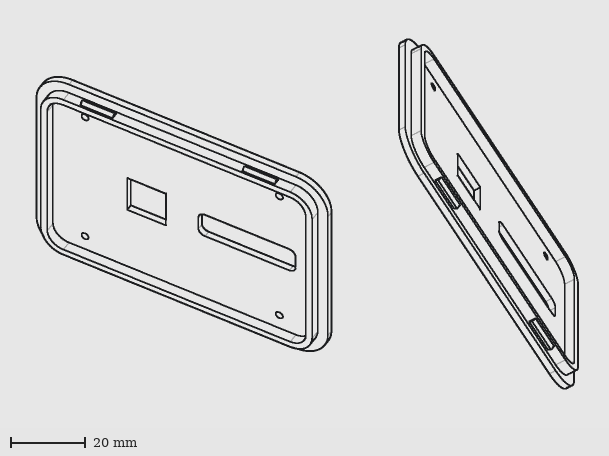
import cadquery as cq

plate_length = 90.0
plate_height = 65.0
total_depth = 5.0
plate_thickness = 2.0
corner_radius = 10.0

rim_inset = 3.15
rim_wall = 2.0
rim_depth = total_depth - plate_thickness

ridge_length = 10.0
ridge_base = 2.0
ridge_height = ridge_base / 2
ridge_center_x = 25.0

screw_hole_diameter = 2.2
screw_hole_x = 30.0
screw_hole_z = 22.5
square_side = 12.0
square_center_x = -11.0
slot_length = 30.0
slot_height = 8.0
slot_corner_radius = 2.0
slot_center_x = 20.0

back_y = total_depth / 2
plate_front_y = back_y - plate_thickness
rim_front_y = -total_depth / 2
rim_middle_y = (plate_front_y + rim_front_y) / 2


def rounded_block(length, height, depth, radius, start_y, center_x=0):
    """Block with corners rounded about Y, growing from start_y towards -Y."""
    return (
        cq.Workplane("XZ", origin=(center_x, start_y, 0))
        .rect(length, height)
        .extrude(depth)
        .edges("|Y")
        .fillet(radius)
    )


def inset_block(inset, depth, start_y):
    """Block whose outline is the plate outline moved inwards by inset."""
    return rounded_block(
        plate_length - 2 * inset,
        plate_height - 2 * inset,
        depth,
        corner_radius - inset,
        start_y,
    )


def snap_ridge(center_x, side):
    """Triangular ridge along X on the top (side = 1) or bottom (side = -1) rim wall."""
    wall_z = side * (plate_height / 2 - rim_inset)
    root_z = wall_z - side * rim_wall / 2
    base_start_y = rim_middle_y - ridge_base / 2
    base_end_y = rim_middle_y + ridge_base / 2
    return (
        cq.Workplane("YZ", origin=(center_x - ridge_length / 2, 0, 0))
        .moveTo(base_start_y, root_z)
        .lineTo(base_start_y, wall_z)
        .lineTo(rim_middle_y, wall_z + side * ridge_height)
        .lineTo(base_end_y, wall_z)
        .lineTo(base_end_y, root_z)
        .close()
        .extrude(ridge_length)
    )


plate = inset_block(0, plate_thickness, back_y)
rim = inset_block(rim_inset, rim_depth, plate_front_y).cut(
    inset_block(rim_inset + rim_wall, rim_depth, plate_front_y)
)
result = plate.union(rim)

for ridge_x in (-ridge_center_x, ridge_center_x):
    for ridge_side in (-1, 1):
        result = result.union(snap_ridge(ridge_x, ridge_side))

screw_holes = (
    cq.Workplane("XZ", origin=(0, back_y, 0))
    .rect(2 * screw_hole_x, 2 * screw_hole_z, forConstruction=True)
    .vertices()
    .circle(screw_hole_diameter / 2)
    .extrude(plate_thickness)
)

square_window = (
    cq.Workplane("XZ", origin=(square_center_x, back_y, 0))
    .rect(square_side, square_side)
    .extrude(plate_thickness)
)
slot = rounded_block(
    slot_length, slot_height, plate_thickness, slot_corner_radius, back_y, slot_center_x
)

result = result.cut(screw_holes).cut(square_window).cut(slot)